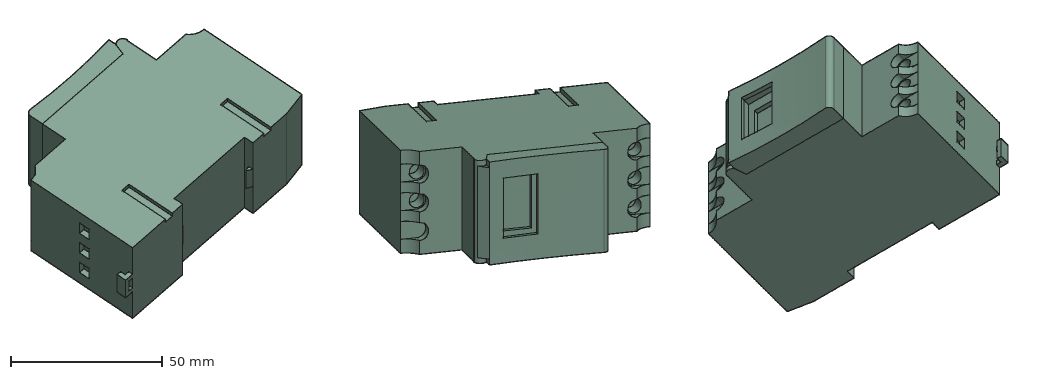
import cadquery as cq
import math


width = 36.0
height = 87.05
depth = 65.4
mid_z = width / 2

shoulder_x = 17.6
scoop_x = 20.7
scoop_height = 5.6
hump_bottom = 20.9
hump_top = 66.65

rail_x = 61.65
rail_bottom = 25.2
rail_top = 60.5
bevel_x = 63.7
bevel_bottom = 77.4
catch_width = 9.0
catch_z = mid_z - catch_width / 2
upper_catch = [(63.4, rail_top), (64.05, rail_top - 2.0), (65.3, rail_top)]
lower_catch_tip = rail_bottom + 1.75
lower_catch = [(63.1, rail_bottom), (63.1, lower_catch_tip), (64.1, lower_catch_tip), (64.6, rail_bottom)]

overall_height = 90.5
tab_drop = overall_height - height
tab_thickness = 1.7
tab_window_width = 4.9

nose_radius = 2.21
nose_center = (4.6, 64.65)

terminal_pitch = 10.0
terminal_zs = [mid_z + step * terminal_pitch for step in (-1, 0, 1)]
upper_screw_zs = terminal_zs[1:]
screw_diameter = 5.2
screw_depth = 6.0
recess_width = 6.2
recess_inset = 5.7

entry_x = 44.15
entry_length = 4.1
entry_width = 5.2
entry_depth = 2.2

slot_front = 46.35
slot_width = 3.5
slot_depth = 1.5
slot_bottoms = (16.5, 66.0)

cover_rear = 7.55
cover_top_front = (0.0, 62.9)
cover_top_rear = (cover_rear, 61.3)
cover_corner_radius = 2.0
cover_lower_x = 0.33
cover_bulge_x = 1.05
cover_wall = 1.6
cavity_top = 60.35
lip_inset = 2.0

window_bottom = 45.7
window_top = 57.9
window_z = 8.7
window_width = 21.0
display_recess = 1.6


def extrude_outline(outline, z_start, z_length):
    return outline.extrude(z_length).translate((0, 0, z_start))


def box(x_range, y_range, z_range):
    """Box given by its (start, end) along each axis."""
    sizes = [end - start for start, end in (x_range, y_range, z_range)]
    corner = (x_range[0], y_range[0], z_range[0])
    return cq.Workplane("XY").box(*sizes, centered=False).translate(corner)


def nose_tangent(point, side):
    """Place where the line from point touches the nose circle; side is 1 or -1."""
    dx = point[0] - nose_center[0]
    dy = point[1] - nose_center[1]
    angle = math.atan2(dy, dx) + side * math.acos(nose_radius / math.hypot(dx, dy))
    return nose_point(angle)


def nose_point(angle):
    return (
        nose_center[0] + nose_radius * math.cos(angle),
        nose_center[1] + nose_radius * math.sin(angle),
    )


scoop_length = scoop_x - shoulder_x
scoop_radius = (scoop_length**2 + scoop_height**2) / (2 * scoop_length)
scoop_half_angle = math.asin(scoop_height / scoop_radius) / 2
scoop_mid_x = scoop_x - scoop_radius * (1 - math.cos(scoop_half_angle))
scoop_mid_y = scoop_radius * math.sin(scoop_half_angle)

nose_lower_tangent = nose_tangent(cover_top_rear, -1)
nose_lip_tangent = nose_tangent(cover_top_front, -1)
nose_left = nose_point(math.pi)
nose_top = nose_point(math.pi / 2)

cover_slope = (nose_lower_tangent[0] - cover_rear) / (nose_lower_tangent[1] - cover_top_rear[1])
cover_ridge = (cover_rear + cover_slope * (cover_top_front[1] - cover_top_rear[1]), cover_top_front[1])


def housing_profile():
    return (
        cq.Workplane("XY")
        .moveTo(scoop_x, 0)
        .lineTo(depth, 0)
        .lineTo(depth, rail_bottom)
        .lineTo(rail_x, rail_bottom)
        .lineTo(rail_x, rail_top)
        .lineTo(depth, rail_top)
        .lineTo(depth, bevel_bottom)
        .lineTo(bevel_x, height)
        .lineTo(scoop_x, height)
        .threePointArc((scoop_mid_x, height - scoop_mid_y), (shoulder_x, height - scoop_height))
        .lineTo(shoulder_x, hump_top)
        .lineTo(nose_top[0], hump_top)
        .lineTo(*nose_top)
        .threePointArc(nose_left, nose_lower_tangent)
        .lineTo(*cover_top_rear)
        .lineTo(cover_rear, hump_bottom)
        .lineTo(shoulder_x, hump_bottom)
        .lineTo(shoulder_x, scoop_height)
        .threePointArc((scoop_mid_x, scoop_mid_y), (scoop_x, 0))
        .close()
    )


def release_tab():
    """Hooked tab with a window through its stem."""
    hook_top = tab_thickness - tab_drop
    outline = cq.Workplane("XY").polyline([
        (depth, 0),
        (depth, -tab_drop),
        (rail_x, -tab_drop),
        (rail_x, hook_top),
        (depth - tab_thickness, hook_top),
        (depth - tab_thickness, 0),
    ]).close()
    tab = extrude_outline(outline, catch_z, catch_width)
    window_start = mid_z - tab_window_width / 2
    window = box((rail_x, depth), (hook_top, 0), (window_start, window_start + tab_window_width))
    return tab.cut(window)


def terminal_recess(center_y, edge_y, z):
    """Flat-bottomed recess with a round inner end, open to the housing edge."""
    half = recess_width / 2
    round_end = (
        cq.Workplane("YZ", origin=(shoulder_x, center_y, z)).circle(half).extrude(scoop_x - shoulder_x)
    )
    channel = box((shoulder_x, scoop_x), sorted((center_y, edge_y)), (z - half, z + half))
    return round_end.union(channel)


def screw_hole(center_y, z):
    return cq.Workplane("YZ", origin=(scoop_x, center_y, z)).circle(screw_diameter / 2).extrude(screw_depth)


def wire_entry(z):
    x_range = (entry_x - entry_length / 2, entry_x + entry_length / 2)
    return box(x_range, (0, entry_depth), (z - entry_width / 2, z + entry_width / 2))


def display_window(x_range):
    return box(x_range, (window_bottom, window_top), (window_z, window_z + window_width))


def make_housing():
    housing = extrude_outline(housing_profile(), 0, width)
    for catch in (upper_catch, lower_catch):
        outline = cq.Workplane("XY").polyline(catch).close()
        housing = housing.union(extrude_outline(outline, catch_z, catch_width))
    housing = housing.union(release_tab())
    upper_y = height - recess_inset
    for z in terminal_zs:
        housing = housing.cut(terminal_recess(recess_inset, 0, z))
        housing = housing.cut(terminal_recess(upper_y, height, z))
        housing = housing.cut(screw_hole(recess_inset, z))
        housing = housing.cut(wire_entry(z))
    for z in upper_screw_zs:
        housing = housing.cut(screw_hole(upper_y, z))
    for bottom in slot_bottoms:
        slot = box((slot_front, depth), (bottom, bottom + slot_width), (width - slot_depth, width))
        housing = housing.cut(slot)
    return housing.cut(display_window((cover_rear, cover_rear + display_recess)))


def cover_profile():
    """Side outline with a gently hollow front and a rounded lower corner."""
    radius = cover_corner_radius
    corner_mid = radius * (1 - math.sqrt(0.5))
    arc_end_y = hump_bottom + radius
    return (
        cq.Workplane("XY")
        .moveTo(*cover_top_front)
        .threePointArc((cover_bulge_x, (cover_top_front[1] + arc_end_y) / 2), (cover_lower_x, arc_end_y))
        .threePointArc(
            (cover_lower_x + corner_mid, hump_bottom + corner_mid), (cover_lower_x + radius, hump_bottom)
        )
        .lineTo(cover_rear, hump_bottom)
        .lineTo(*cover_top_rear)
        .lineTo(*cover_ridge)
        .close()
    )


def cover_cavity():
    """Hollow behind the front wall, open to the housing."""
    bottom = hump_bottom + cover_wall
    outline = (
        cq.Workplane("XY")
        .moveTo(cover_wall, cavity_top)
        .threePointArc(
            (cover_bulge_x + cover_wall, (cavity_top + bottom) / 2), (cover_lower_x + cover_wall, bottom)
        )
        .lineTo(cover_rear, bottom)
        .lineTo(cover_rear, cavity_top)
        .close()
    )
    return extrude_outline(outline, cover_wall, width - 2 * cover_wall)


def cover_lip():
    """Slanted lip that runs from the front edge up to the nose."""
    outline = (
        cq.Workplane("XY")
        .moveTo(*cover_top_front)
        .lineTo(*nose_lip_tangent)
        .threePointArc(nose_left, nose_lower_tangent)
        .lineTo(*cover_ridge)
        .close()
    )
    return extrude_outline(outline, lip_inset, width - 2 * lip_inset)


def make_cover():
    cover = extrude_outline(cover_profile(), 0, width)
    cover = cover.union(cover_lip())
    cover = cover.cut(cover_cavity())
    return cover.cut(display_window((0, cover_rear)))


housing = make_housing()
cover = make_cover()

result = cq.Compound.makeCompound([housing.val(), cover.val()])